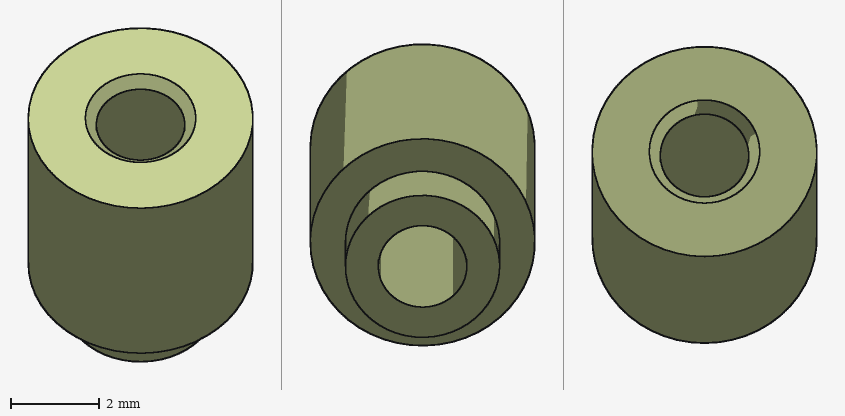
import cadquery as cq

total_length = 6.9
body_diameter = 5.1
spigot_diameter = 3.5
spigot_length = 1.4
body_length = total_length - spigot_length

bore_diameter = 2.01
lead_in = 0.25

spigot = cq.Workplane("XY").circle(spigot_diameter / 2).extrude(spigot_length)

body = (
    cq.Workplane("XY")
    .workplane(offset=spigot_length)
    .circle(body_diameter / 2)
    .extrude(body_length)
)

bore = cq.Workplane("XY").circle(bore_diameter / 2).extrude(total_length)
sleeve = spigot.union(body).cut(bore)

bore_rim = cq.selectors.RadiusNthSelector(0)
result = sleeve.faces(">Z").edges(bore_rim).chamfer(lead_in)